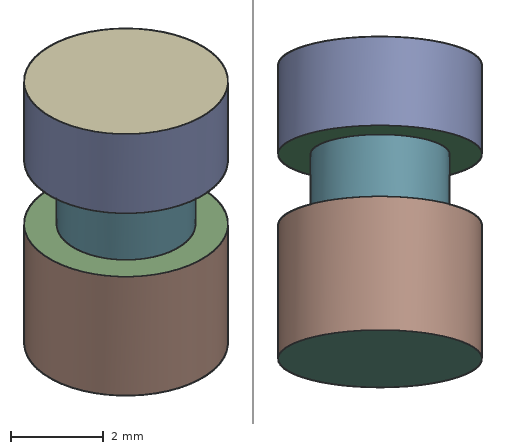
import cadquery as cq

total_height = 6.6
body_diameter = 4.4
neck_diameter = 3.0
base_height = 3.0
head_height = 2.0

neck_height = total_height - base_height - head_height

base = cq.Workplane("XY").circle(body_diameter / 2).extrude(base_height)
with_neck = base.faces(">Z").workplane().circle(neck_diameter / 2).extrude(neck_height)
result = with_neck.faces(">Z").workplane().circle(body_diameter / 2).extrude(head_height)